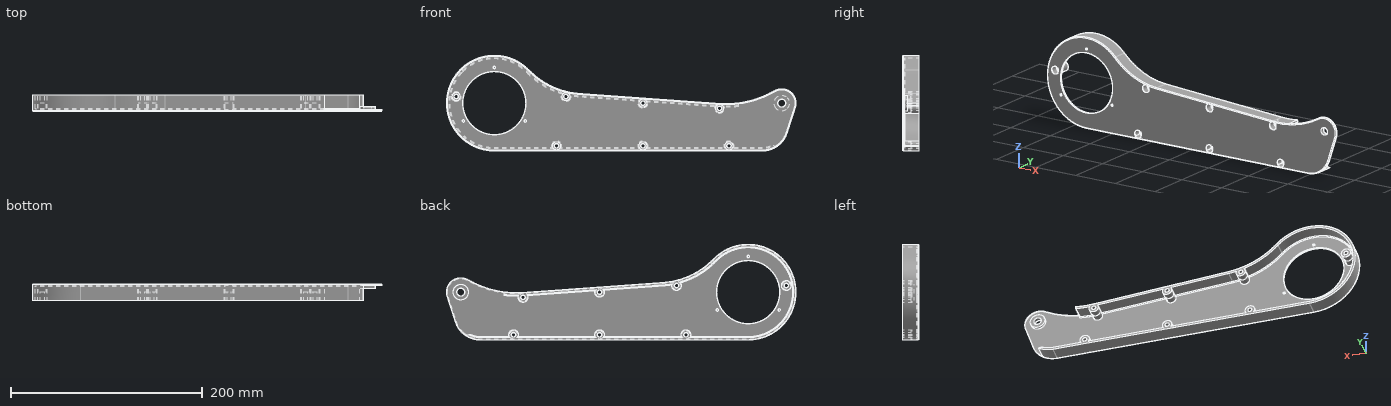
import cadquery as cq
import math

head_radius = 50.0
pin_x = 300.0
tip_radius = 15.0
depth = 17.5
plate_thickness = 2.0
wall_thickness = 2.5
edge_chamfer = 1.0

neck_angle = math.radians(43.8)
neck_radius = 80.3
slope_angle = math.radians(4.1)
slope_end_x = 235.0
heel_radius = 27.5
heel_angle = math.radians(18)

bore_radius = 33.0
clearance_radius = 45.3
pin_boss_radius = 8.0
pin_boss_height = 5.0
pin_hole_radius = 4.0

screw_hole_radius = 2.2
counterbore_radius = 4.2
counterbore_depth = 8.8
screw_boss_radius = 5.0
screw_row_z = -44.5
screw_positions = [
    (-39.8, 7.0),
    (75.0, 7.0),
    (155.0, 0),
    (235.0, -5.5),
    (65.0, screw_row_z),
    (155.0, screw_row_z),
    (245.0, screw_row_z),
]

dowel_circle_radius = 37.2
dowel_hole_radius = 1.0
dowel_count = 3


def polar(center, radius, angle):
    """Point at a radius and an angle (from +X towards +Z) around a center."""
    return (center[0] + radius * math.cos(angle), center[1] + radius * math.sin(angle))


def arm_outline(inset):
    """Closed arm profile in the XZ plane, moved inwards by the inset."""
    head = (0, 0)
    pin = (pin_x, 0)
    down = -math.pi / 2
    slope_normal = math.pi / 2 - slope_angle

    neck = polar(head, head_radius + neck_radius, neck_angle)
    slope_start = polar(neck, -neck_radius, slope_normal)
    slope_length = (slope_end_x - slope_start[0]) / math.cos(slope_angle)
    slope_end = polar(slope_start, slope_length, -slope_angle)

    offset_x = slope_end[0] - pin_x
    offset_z = slope_end[1]
    height_along_normal = offset_x * math.sin(slope_angle) + offset_z * math.cos(slope_angle)
    saddle_radius = (offset_x**2 + offset_z**2 - tip_radius**2) / (2 * (tip_radius - height_along_normal))
    saddle = polar(slope_end, saddle_radius, slope_normal)
    saddle_end_angle = math.atan2(-saddle[1], pin_x - saddle[0])

    heel_z = heel_radius - head_radius
    edge_distance = tip_radius - heel_radius + heel_z * math.sin(heel_angle)
    heel = (pin_x + edge_distance / math.cos(heel_angle), heel_z)

    neck_mid_angle = (neck_angle + slope_normal) / 2 + math.pi
    saddle_mid_angle = (slope_normal - math.pi + saddle_end_angle) / 2
    tip_start_angle = saddle_end_angle + math.pi
    tip_mid_angle = (tip_start_angle - heel_angle) / 2
    heel_mid_angle = (down - heel_angle) / 2

    head_r = head_radius - inset
    neck_r = neck_radius + inset
    saddle_r = saddle_radius + inset
    tip_r = tip_radius - inset
    heel_r = heel_radius - inset
    return (
        cq.Workplane("XZ")
        .moveTo(*polar(head, head_r, down))
        .threePointArc(polar(head, head_r, math.pi), polar(head, head_r, neck_angle))
        .threePointArc(
            polar(neck, neck_r, neck_mid_angle),
            polar(neck, -neck_r, slope_normal),
        )
        .lineTo(*polar(saddle, -saddle_r, slope_normal))
        .threePointArc(
            polar(saddle, saddle_r, saddle_mid_angle),
            polar(saddle, saddle_r, saddle_end_angle),
        )
        .threePointArc(polar(pin, tip_r, tip_mid_angle), polar(pin, tip_r, -heel_angle))
        .lineTo(*polar(heel, heel_r, -heel_angle))
        .threePointArc(polar(heel, heel_r, heel_mid_angle), polar(heel, heel_r, down))
        .close()
    )


def cylinders(points, radius, start, end):
    """Cylinders along Y at the given (x, z) points, from Y = start to Y = end."""
    return cq.Workplane("XZ", origin=(0, start, 0)).pushPoints(points).circle(radius).extrude(start - end)


pin_point = [(pin_x, 0)]
block = arm_outline(0).extrude(-depth).faces("<Y").chamfer(edge_chamfer)
cavity = arm_outline(wall_thickness).extrude(-depth).faces("<Y").chamfer(edge_chamfer)
cavity = cavity.translate((0, plate_thickness, 0))
body = block.cut(cavity)
body = body.cut(cylinders(pin_point, clearance_radius, plate_thickness, depth))

screw_bosses = cylinders(screw_positions, screw_boss_radius, plate_thickness / 2, depth)
body = body.union(screw_bosses.intersect(block))

body = body.union(cylinders(pin_point, pin_boss_radius, plate_thickness / 2, pin_boss_height))

dowel_points = [
    polar((0, 0), dowel_circle_radius, math.pi / 2 + 2 * math.pi * i / dowel_count)
    for i in range(dowel_count)
]
body = body.cut(cylinders([(0, 0)], bore_radius, 0, depth))
body = body.cut(cylinders(pin_point, pin_hole_radius, 0, depth))
body = body.cut(cylinders(dowel_points, dowel_hole_radius, 0, plate_thickness))
body = body.cut(cylinders(screw_positions, screw_hole_radius, 0, depth))
result = body.cut(cylinders(screw_positions, counterbore_radius, 0, counterbore_depth))